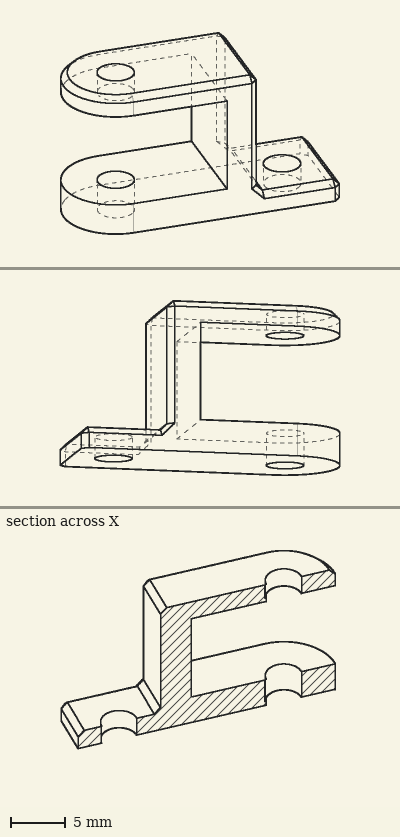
import cadquery as cq

width = 10.0
length = 25.0
height = 14.0
plate_thickness = 2.0
base_thickness = 3.0
wall_front = 14.0
wall_back = 17.0
tab_hole_y = 21.0
hole_diameter = 3.4
bevel = 0.6

end_radius = width / 2
lug_hole_y = end_radius
tolerance = 0.002


def side_profile():
    """Stepped clevis section with a mounting tab behind the wall."""
    return (
        cq.Workplane("YZ")
        .polyline([
            (0, 0),
            (length, 0),
            (length, plate_thickness),
            (wall_back, plate_thickness),
            (wall_back, height),
            (0, height),
            (0, height - plate_thickness),
            (wall_front, height - plate_thickness),
            (wall_front, base_thickness),
            (0, base_thickness),
        ])
        .close()
        .extrude(width / 2, both=True)
    )


def plan_outline():
    """Full-height plan shape with a round front end."""
    return (
        cq.Workplane("XY")
        .moveTo(-width / 2, length)
        .lineTo(-width / 2, end_radius)
        .threePointArc((0, 0), (width / 2, end_radius))
        .lineTo(width / 2, length)
        .close()
        .extrude(height)
    )


def is_bevelled(edge):
    """True for the rim of the top, the wall back, the tab top and the tab end."""
    box = edge.BoundingBox()
    on_top = box.zmin > height - tolerance
    on_side = box.xmax - box.xmin < tolerance and abs(box.xmin) > width / 2 - tolerance
    on_wall_back = on_side and box.ymin > wall_back - tolerance and box.zmax > tolerance
    on_tab_end = box.ymin > length - tolerance and box.zmax > tolerance
    return on_top or on_wall_back or on_tab_end


def bevel_outer_edges(body):
    edges = [edge for edge in body.edges().vals() if is_bevelled(edge)]
    return body.newObject(edges).chamfer(bevel)


def corner_triangle(corner_y, corner_z):
    """Wire points of the gusset, from a corner to its fixed upper and rear limits."""
    return [
        (corner_y, corner_z),
        (wall_back + bevel, corner_z),
        (corner_y, plate_thickness + bevel),
    ]


def corner_gusset():
    """Sloped fill between tab and wall, spreading onto the bevels at both sides."""
    flat_half_width = width / 2 - bevel
    core_points = corner_triangle(wall_back, plate_thickness)
    side_points = corner_triangle(wall_back - bevel, plate_thickness - bevel)
    gusset = cq.Workplane("YZ").polyline(core_points).close().extrude(flat_half_width, both=True)
    side_flare = (
        cq.Workplane("YZ", origin=(flat_half_width, 0, 0))
        .polyline(core_points)
        .close()
        .workplane(offset=bevel)
        .polyline(side_points)
        .close()
        .loft(ruled=True)
    )
    return gusset.union(side_flare).union(side_flare.mirror("YZ"))


def drill_holes(body):
    drills = (
        cq.Workplane("XY")
        .pushPoints([(0, lug_hole_y), (0, tab_hole_y)])
        .circle(hole_diameter / 2)
        .extrude(height)
    )
    return body.cut(drills)


bracket = side_profile().intersect(plan_outline())
bracket = bevel_outer_edges(bracket).union(corner_gusset())
result = drill_holes(bracket)
result = result.translate((0, -length / 2, -height / 2))